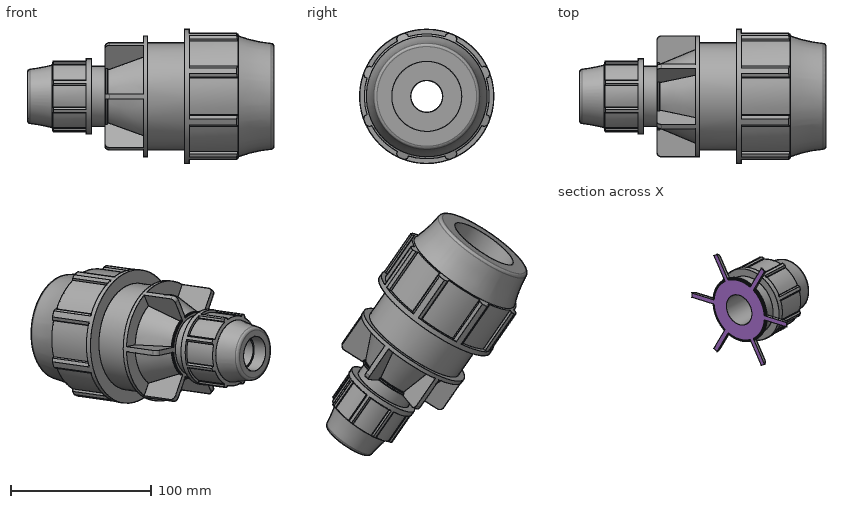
import cadquery as cq

LENGTH = 176.0

NECK_RADIUS = 43.1 / 2
COLLAR_START = 55.3
COLLAR_END = 57.4
COLLAR_RADIUS = 24.1
COLLAR_CHAMFER = 0.5
CONE_START_RADIUS = 22.9
CONE_END_RADIUS = 33.5
DISC_START = 82.7
DISC_END = 85.7
DISC_RADIUS = 86.5 / 2
BARREL_RADIUS = 76.7 / 2

FIN_COUNT = 6
FIN_THICKNESS = 3.7
FIN_CORNER_RADIUS = 3.3

RIB_COUNT = 8
RIM_FILLET = 2.3

SMALL_FLANGE_OPEN = 45.8
SMALL_FLANGE_GRIP = 41.9
SMALL_FLANGE_RADIUS = 54.0 / 2
SMALL_GRIP_RADIUS = 25.2
SMALL_RIB_TAPER_RADIUS = 25.7
SMALL_RIB_BASE = 4.2
SMALL_RIB_TOP = 2.3
SMALL_SHOULDER_X = 18.7
SMALL_NOSE = [(17.6, 22.4), (9.5, 20.6), (0, 19.2)]

LARGE_FLANGE_OPEN = 112.0
LARGE_FLANGE_GRIP = 115.6
LARGE_FLANGE_RADIUS = 96.0 / 2
LARGE_GRIP_RADIUS = 44.5
LARGE_RIB_TAPER_RADIUS = 46.1
LARGE_RIB_BASE = 8.5
LARGE_RIB_TOP = 4.4
LARGE_SHOULDER_X = 149.2
LARGE_NOSE = [(150.7, 43.1), (161.7, 39.8), (LENGTH, 37.7)]

PASSAGE_RADIUS = 11.3
SMALL_SOCKET_RADIUS = 25.0 / 2
SMALL_SOCKET_DEPTH = 10.5
LARGE_SOCKET_RADIUS = 2 * SMALL_SOCKET_RADIUS
LARGE_SOCKET_DEPTH = 2 * SMALL_SOCKET_DEPTH


def cylinder(start, end, radius):
    """Solid cylinder on the X axis between two stations."""
    low = min(start, end)
    return cq.Workplane("YZ").workplane(offset=low).circle(radius).extrude(abs(end - start))


def revolve_about_x(profile):
    """Close an XY half profile and turn it around the X axis."""
    return profile.close().revolve(360, (0, 0, 0), (1, 0, 0))


def make_body():
    """Shaft that runs from the small nut's flange to the large nut's flange."""
    cone = revolve_about_x(
        cq.Workplane("XY")
        .moveTo(COLLAR_END, 0)
        .lineTo(COLLAR_END, CONE_START_RADIUS)
        .lineTo(DISC_START, CONE_END_RADIUS)
        .lineTo(DISC_START, 0)
    )
    collar = cylinder(COLLAR_START, COLLAR_END, COLLAR_RADIUS).edges().chamfer(COLLAR_CHAMFER)
    neck = cylinder(SMALL_FLANGE_GRIP, COLLAR_END, NECK_RADIUS)
    disc = cylinder(DISC_START, DISC_END, DISC_RADIUS)
    barrel = cylinder(DISC_END, LARGE_FLANGE_GRIP, BARREL_RADIUS)
    return cone.union(collar).union(neck).union(disc).union(barrel)


def make_fins():
    """Radial plates with a rounded outer corner, trimmed to the rim of the disc."""
    plate = (
        cq.Workplane("XY")
        .box(DISC_END - COLLAR_START, DISC_RADIUS, FIN_THICKNESS, centered=(False, False, True))
        .translate((COLLAR_START, 0, 0))
        .edges("<X and >Y")
        .fillet(FIN_CORNER_RADIUS)
    )
    fins = plate
    for index in range(1, FIN_COUNT):
        fins = fins.union(plate.rotate((0, 0, 0), (1, 0, 0), index * 360 / FIN_COUNT))
    return fins.intersect(cylinder(COLLAR_START, DISC_END, DISC_RADIUS))


def make_ribbed_core(start, end, grip_radius, taper_radius, rim_radius, base_width, top_width):
    """Grip cylinder with evenly spaced ribs, none of them on the Y or Z axis."""
    rib = (
        cq.Workplane("YZ")
        .workplane(offset=min(start, end))
        .moveTo(0, -base_width / 2)
        .lineTo(taper_radius, -base_width / 2)
        .lineTo(rim_radius, -top_width / 2)
        .lineTo(rim_radius, top_width / 2)
        .lineTo(taper_radius, base_width / 2)
        .lineTo(0, base_width / 2)
        .close()
        .extrude(abs(end - start))
    )
    pitch = 360 / RIB_COUNT
    core = cylinder(start, end, grip_radius)
    for index in range(RIB_COUNT):
        core = core.union(rib.rotate((0, 0, 0), (1, 0, 0), (index + 0.5) * pitch))
    return core


def make_nut(flange_open, flange_grip, flange_radius, grip_radius, taper_radius, rib_base, rib_top,
             shoulder_x, nose):
    """Nut with a plain flange, a ribbed grip and a nose that ends in a rounded rim."""
    shoulder, nose_middle, tip = nose
    tip_x = tip[0]
    blank = revolve_about_x(
        cq.Workplane("XY")
        .moveTo(flange_open, 0)
        .lineTo(flange_open, flange_radius)
        .lineTo(shoulder_x, flange_radius)
        .lineTo(*shoulder)
        .threePointArc(nose_middle, tip)
        .lineTo(tip_x, 0)
    )
    tip_face = "<X" if tip_x < flange_open else ">X"
    blank = blank.faces(tip_face).edges().fillet(RIM_FILLET)
    grip_end = shoulder[0]
    core = make_ribbed_core(
        flange_grip, grip_end, grip_radius, taper_radius, flange_radius, rib_base, rib_top
    )
    pockets = cylinder(flange_grip, grip_end, flange_radius).cut(core)
    return blank.cut(pockets)


def make_bores():
    """Passage along the whole part with a wider socket at each end."""
    passage = cylinder(0, LENGTH, PASSAGE_RADIUS)
    small_socket = cylinder(0, SMALL_SOCKET_DEPTH, SMALL_SOCKET_RADIUS)
    large_socket = cylinder(LENGTH - LARGE_SOCKET_DEPTH, LENGTH, LARGE_SOCKET_RADIUS)
    return passage.union(small_socket).union(large_socket)


small_nut = make_nut(
    SMALL_FLANGE_OPEN, SMALL_FLANGE_GRIP, SMALL_FLANGE_RADIUS, SMALL_GRIP_RADIUS,
    SMALL_RIB_TAPER_RADIUS, SMALL_RIB_BASE, SMALL_RIB_TOP, SMALL_SHOULDER_X, SMALL_NOSE,
)
large_nut = make_nut(
    LARGE_FLANGE_OPEN, LARGE_FLANGE_GRIP, LARGE_FLANGE_RADIUS, LARGE_GRIP_RADIUS,
    LARGE_RIB_TAPER_RADIUS, LARGE_RIB_BASE, LARGE_RIB_TOP, LARGE_SHOULDER_X, LARGE_NOSE,
)

result = make_body().union(make_fins()).union(small_nut).union(large_nut).cut(make_bores())